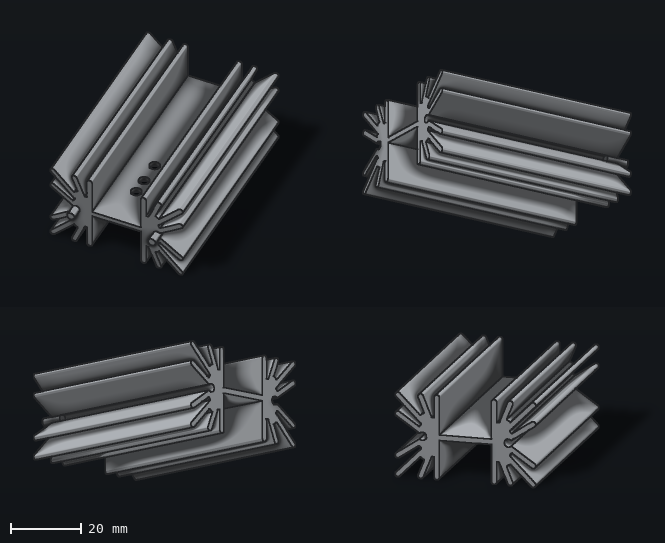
import cadquery as cq
import math

pin_protrusion = 3.5
sink_length = 67.25 - pin_protrusion
sink_width = 41.6
sink_height = 25.0

fin_thickness = 1.6
fin_radius = fin_thickness / 2
side_tip_x = sink_width / 2 - fin_radius
top_tip_z = sink_height / 2 - fin_radius

upright_fin_x = 8.5
steep_tip_x = 13.25
steep_angle = 68
steep_root_z = 5.4
diagonal_angle = 45
diagonal_root_x = 11.8
shallow_tip_z = 6.1
shallow_angle = 34

web_thickness = 1.6
mounting_hole_diameter = 3.15
mounting_hole_distances = [13.1, 18.3, 25.3]

pin_x = 12.7
pin_diameter = 2.35
pin_embedded_length = 3.5

upright_valley_z = 5.8
upright_valley_x = 10.1
steep_valley_inner = (12.1, 7.0)
steep_valley_outer = (13.3, 6.25)
shallow_valley_inner = (13.1, 3.5)
shallow_valley_outer = (13.85, 2.6)


def sink_plane():
    """Front-face sketch plane: local x is X, local y is Z, normal is -Y."""
    return cq.Workplane("XZ")


def make_fin(root, tip):
    """A straight fin with round ends centred on the root and tip points."""
    run = tip[0] - root[0]
    rise = tip[1] - root[1]
    return (
        sink_plane()
        .center((root[0] + tip[0]) / 2, (root[1] + tip[1]) / 2)
        .slot2D(math.hypot(run, rise) + fin_thickness, fin_thickness, math.degrees(math.atan2(rise, run)))
        .extrude(-sink_length)
    )


def make_core():
    """The solid hub of one quadrant, bounded by the valley floors."""
    return (
        sink_plane()
        .polyline([
            (upright_fin_x, 0),
            (upright_fin_x, upright_valley_z),
            (upright_valley_x, upright_valley_z),
            steep_valley_inner,
            steep_valley_outer,
            shallow_valley_inner,
            shallow_valley_outer,
            (pin_x, 0),
        ])
        .close()
        .extrude(-sink_length)
    )


def make_quadrant():
    """Hub and fins of the +X +Z quadrant."""
    steep_root_x = steep_tip_x - (top_tip_z - steep_root_z) / math.tan(math.radians(steep_angle))
    diagonal_drop = (side_tip_x - diagonal_root_x) * math.tan(math.radians(diagonal_angle))
    shallow_drop = (side_tip_x - pin_x) * math.tan(math.radians(shallow_angle))
    fins = [
        ((upright_fin_x, 0), (upright_fin_x, top_tip_z)),
        ((steep_root_x, steep_root_z), (steep_tip_x, top_tip_z)),
        ((diagonal_root_x, top_tip_z - diagonal_drop), (side_tip_x, top_tip_z)),
        ((pin_x, shallow_tip_z - shallow_drop), (side_tip_x, shallow_tip_z)),
    ]
    quadrant = make_core()
    for root, tip in fins:
        quadrant = quadrant.union(make_fin(root, tip))
    return quadrant


def make_pin_cylinder(x, front_y, length):
    """A cylinder of pin diameter along +Y from front_y."""
    return (
        cq.Workplane("XZ", origin=(x, front_y, 0))
        .circle(pin_diameter / 2)
        .extrude(-length)
    )


def make_heat_sink():
    quadrant = make_quadrant()
    cluster = quadrant.union(quadrant.mirror("XY"))
    web = sink_plane().rect(2 * upright_fin_x, web_thickness).extrude(-sink_length)
    sink = web.union(cluster).union(cluster.mirror("YZ"))

    for x in (-pin_x, pin_x):
        sink = sink.cut(make_pin_cylinder(x, 0, sink_length))

    holes = (
        cq.Workplane("XY", origin=(0, 0, -web_thickness))
        .pushPoints([(0, distance) for distance in mounting_hole_distances])
        .circle(mounting_hole_diameter / 2)
        .extrude(2 * web_thickness)
    )
    return sink.cut(holes)


def make_solder_pin(x):
    return make_pin_cylinder(x, -pin_protrusion, pin_protrusion + pin_embedded_length)


heat_sink = make_heat_sink()
solder_pins = []
for side in (-1, 1):
    solder_pins.append(make_solder_pin(side * pin_x).val())

result = cq.Compound.makeCompound([heat_sink.val(), *solder_pins])